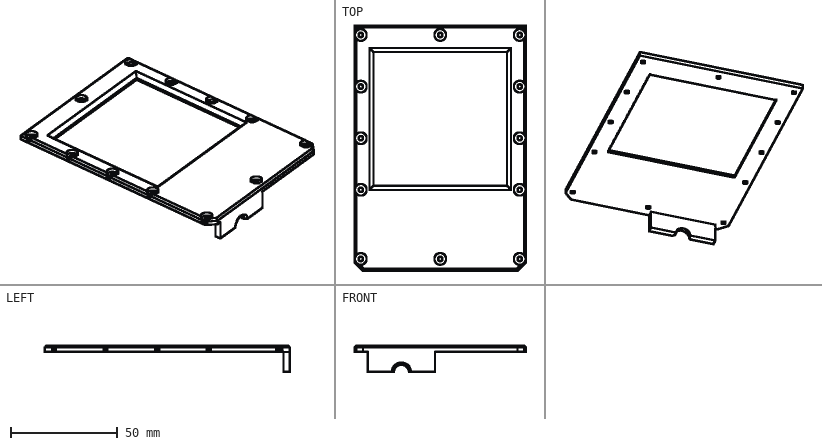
import cadquery as cq

plate_width = 80.5
plate_length = 115.0
plate_thickness = 3.0
corner_cut = 4.0
rim_chamfer = 1.0

window_size = 62.5
window_flare = 2.0
window_back_margin = 10.5
window_lip = plate_thickness - window_flare

screw_diameter = 2.0
head_diameter = 5.5
head_depth = 1.8
screw_side_margin = 3.0
screw_back_margin = 4.4
screw_row_pitch = 24.2
screw_front_margin = 5.6
side_row_count = 4

total_height = 12.38
tab_width = 31.75
tab_thickness = 3.0
tab_side_margin = 6.15
notch_radius = 3.5
notch_chamfer = 1.0
notch_axis_drop = 0.12


def make_plate():
    """Rectangular plate with cut front corners and a chamfered top rim."""
    plate = cq.Workplane("XY").box(
        plate_width, plate_length, plate_thickness, centered=(True, False, False)
    )
    plate = plate.faces("<Y").edges("|Z").chamfer(corner_cut)
    return plate.faces(">Z").edges().chamfer(rim_chamfer)


def make_window():
    """Square opening with a straight lip below and 45 degree walls above."""
    top_size = window_size + 2 * window_flare
    centre_y = plate_length - window_back_margin - top_size / 2
    opening = (
        cq.Workplane("XY").center(0, centre_y).rect(window_size, window_size).extrude(plate_thickness)
    )
    flare = (
        cq.Workplane("XY", origin=(0, centre_y, window_lip))
        .rect(window_size, window_size)
        .workplane(offset=window_flare)
        .rect(top_size, top_size)
        .loft(ruled=True)
    )
    return opening.union(flare)


def screw_positions():
    """Evenly pitched rows down each side plus the front row, with middle screws front and back."""
    side_x = plate_width / 2 - screw_side_margin
    back_y = plate_length - screw_back_margin
    rows = [back_y - row * screw_row_pitch for row in range(side_row_count)] + [screw_front_margin]
    sides = [(x, y) for y in rows for x in (-side_x, side_x)]
    return sides + [(0, back_y), (0, screw_front_margin)]


def make_tab():
    """Tab below the front edge with a round notch in its lower edge, bevelled at the front."""
    centre_x = -plate_width / 2 + tab_side_margin + tab_width / 2
    bottom_z = plate_thickness - total_height
    tab = (
        cq.Workplane("XY", origin=(centre_x, 0, bottom_z))
        .box(tab_width, tab_thickness, -bottom_z, centered=(True, False, False))
    )
    axis_start = cq.Vector(centre_x, 0, bottom_z - notch_axis_drop)
    inward = cq.Vector(0, 1, 0)
    bore = cq.Solid.makeCylinder(notch_radius, tab_thickness, axis_start, inward)
    bevel = cq.Solid.makeCone(
        notch_radius + notch_chamfer, notch_radius, notch_chamfer, axis_start, inward
    )
    return tab.cut(cq.Workplane(bore)).cut(cq.Workplane(bevel))


result = (
    make_plate()
    .cut(make_window())
    .union(make_tab())
    .faces(">Z")
    .workplane(origin=(0, 0, plate_thickness))
    .pushPoints(screw_positions())
    .cboreHole(screw_diameter, head_diameter, head_depth, depth=plate_thickness)
)